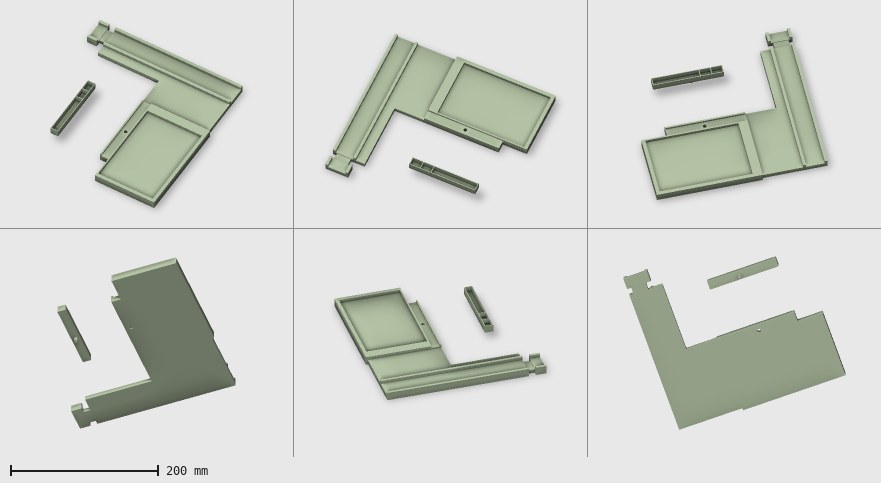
import cadquery as cq

BASE_WIDTH = 228.0
BASE_DEPTH = 237.7
FLOOR_TOP = 7.0
RIM_TOP = 12.0
LEDGE_TOP = 9.0
TROUGH_TOP = 19.5

ARM_DEPTH = 47.0
ARM_RIGHT_X = 225.0
ARM_LEFT_X = 25.0
RAIL_THICKNESS = 4.0
RAIL_GAP = 26.0
RAIL_CHAMFER = 0.5
RAIL_SPAN = RAIL_GAP + 2 * RAIL_THICKNESS

END_BLOCK_LENGTH = 15.0
NECK_WIDTH = 21.0
NECK_HEIGHT = 6.0
NECK_BACK_INSET = 6.0

TRAY_LEFT_X = 135.0
TRAY_DEPTH = 147.1
TRAY_WALL = 5.0
POCKET_LEFT_INSET = 2.1
POCKET_WIDTH = BASE_WIDTH - TRAY_WALL - TRAY_LEFT_X - POCKET_LEFT_INSET
POCKET_DEPTH = 129.0

STRIP_LEFT_X = 121.2
STRIP_FRONT_Y = 35.7
LIP_THICKNESS = 2.1

TROUGH_WIDTH = 12.0
TROUGH_LENGTH = 98.5
TROUGH_LEFT_X = 43.7
TROUGH_FRONT_Y = 34.7
TROUGH_WALL = 1.0
PARTITION_COUNT = 2
PARTITION_PITCH = 16.0

PIN_DIAMETER = 5.0
PIN_LENGTH = 6.0
PIN_RECESS_DIAMETER = 3.0
PIN_RECESS_DEPTH = 1.0
PIN_SIDE_OFFSET = 0.5
PIN_Y = 89.1


def block(x_min, x_max, y_min, y_max, z_min, z_max):
    """Box between two opposite corners."""
    return cq.Workplane("XY").box(
        x_max - x_min, y_max - y_min, z_max - z_min, centered=False
    ).translate((x_min, y_min, z_min))


def rails(x_min, x_max):
    """Back and front rail over one stretch of the slide."""
    pair = cq.Workplane("XY")
    for back_y in (BASE_DEPTH, BASE_DEPTH - RAIL_THICKNESS - RAIL_GAP):
        rail = block(x_min, x_max, back_y - RAIL_THICKNESS, back_y, 0, RIM_TOP)
        pair = pair.add(rail.faces("<Y").edges(">Z").chamfer(RAIL_CHAMFER))
    return pair.combine()


def make_slide():
    """Arm with its rails, the neck and the end block."""
    slide_front_y = BASE_DEPTH - RAIL_SPAN
    neck_back_y = BASE_DEPTH - NECK_BACK_INSET
    arm = block(ARM_LEFT_X, ARM_RIGHT_X, BASE_DEPTH - ARM_DEPTH, BASE_DEPTH, 0, FLOOR_TOP)
    neck = block(END_BLOCK_LENGTH, ARM_LEFT_X, neck_back_y - NECK_WIDTH, neck_back_y, 0, NECK_HEIGHT)
    end_block = block(0, END_BLOCK_LENGTH, slide_front_y, BASE_DEPTH, 0, FLOOR_TOP)
    slide = arm.union(neck).union(end_block)
    return slide.union(rails(ARM_LEFT_X, ARM_RIGHT_X)).union(rails(0, END_BLOCK_LENGTH))


def make_base():
    """Slide, web, tray and side strip in one piece."""
    web = block(STRIP_LEFT_X, ARM_RIGHT_X, TRAY_DEPTH, BASE_DEPTH - ARM_DEPTH, 0, FLOOR_TOP)
    tray = block(TRAY_LEFT_X, BASE_WIDTH, 0, TRAY_DEPTH, 0, RIM_TOP)
    strip = block(STRIP_LEFT_X, TRAY_LEFT_X, STRIP_FRONT_Y, TRAY_DEPTH, 0, RIM_TOP)
    base = make_slide().union(web).union(tray).union(strip)

    pocket_x = TRAY_LEFT_X + POCKET_LEFT_INSET
    base = base.cut(block(
        pocket_x, pocket_x + POCKET_WIDTH, TRAY_WALL, TRAY_WALL + POCKET_DEPTH, FLOOR_TOP, RIM_TOP
    ))

    channel_x = STRIP_LEFT_X + LIP_THICKNESS
    base = base.cut(block(
        channel_x, channel_x + TROUGH_WIDTH, TRAY_WALL, TRAY_DEPTH, LEDGE_TOP, RIM_TOP
    ))

    hole_x = channel_x + TROUGH_WIDTH / 2 + PIN_SIDE_OFFSET
    hole = cq.Workplane("XY").center(hole_x, PIN_Y).circle(PIN_DIAMETER / 2).extrude(LEDGE_TOP)
    return base.cut(hole)


def make_trough():
    """Partitioned trough with its pin."""
    right_x = TROUGH_LEFT_X + TROUGH_WIDTH
    back_y = TROUGH_FRONT_Y + TROUGH_LENGTH
    inner_left_x = TROUGH_LEFT_X + TROUGH_WALL
    inner_right_x = right_x - TROUGH_WALL
    floor_z = LEDGE_TOP + TROUGH_WALL

    trough = block(TROUGH_LEFT_X, right_x, TROUGH_FRONT_Y, back_y, LEDGE_TOP, TROUGH_TOP)
    trough = trough.cut(block(
        inner_left_x, inner_right_x, TROUGH_FRONT_Y + TROUGH_WALL, back_y - TROUGH_WALL,
        floor_z, TROUGH_TOP
    ))

    for index in range(1, PARTITION_COUNT + 1):
        partition_back_y = back_y - index * PARTITION_PITCH
        trough = trough.union(block(
            inner_left_x, inner_right_x, partition_back_y - TROUGH_WALL, partition_back_y,
            LEDGE_TOP, TROUGH_TOP
        ))

    pin_x = TROUGH_LEFT_X + TROUGH_WIDTH / 2 + PIN_SIDE_OFFSET
    pin = (
        cq.Workplane("XY", origin=(pin_x, PIN_Y, LEDGE_TOP))
        .circle(PIN_DIAMETER / 2)
        .extrude(-PIN_LENGTH)
        .faces("<Z")
        .workplane()
        .hole(PIN_RECESS_DIAMETER, PIN_RECESS_DEPTH)
    )
    return trough.union(pin)


base = make_base()
trough = make_trough()

result = cq.Compound.makeCompound([base.val(), trough.val()])